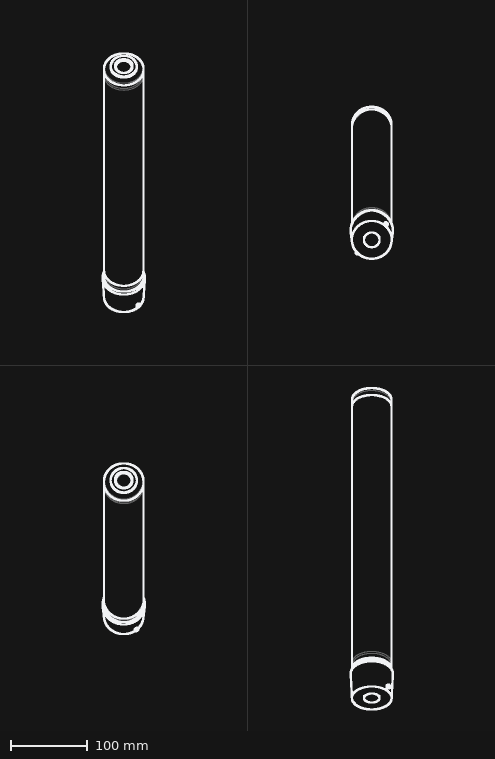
import cadquery as cq
import math

total_height = 481.0
body_diameter = 52.0
groove_diameter = 37.5
collar_diameter = 34.0
bore_diameter = 20.0
bore_chamfer = 1.5

skirt_height = 39.0
skirt_top_diameter = 55.5
neck_diameter = 40.0

rim_radius = 2.5
rim_sweep = 60

lower_disc_bottom = 43.0
lower_disc_top = 44.7
lower_groove_height = 50.5
body_bottom = 56.0

body_top = 463.5
upper_groove_height = 469.0
upper_disc_middle = 474.5
collar_bottom = 478.7

pin_diameter = 5.0
pin_height = 6.3
pin_span = 57.0

body_radius = body_diameter / 2
groove_radius = groove_diameter / 2
collar_radius = collar_diameter / 2


def rim_point(edge_height, direction, angle):
    """Point on a rounded rim: 0 degrees where it meets the outer wall."""
    radius = body_radius - rim_radius * (1 - math.cos(math.radians(angle)))
    height = edge_height + direction * rim_radius * math.sin(math.radians(angle))
    return (radius, height)


def round_inward(outline, edge_height, direction):
    """Draw a rim from its full radius to its inner end, up (1) or down (-1)."""
    return outline.threePointArc(
        rim_point(edge_height, direction, rim_sweep / 2), rim_point(edge_height, direction, rim_sweep)
    )


def round_outward(outline, edge_height, direction):
    """Draw a line to the inner end of a rim, then the rim to its full radius."""
    outline = outline.lineTo(*rim_point(edge_height, direction, rim_sweep))
    return outline.threePointArc(
        rim_point(edge_height, direction, rim_sweep / 2), rim_point(edge_height, direction, 0)
    )


def make_turned_body():
    """Revolve the stepped outer profile about Z."""
    outline = cq.Workplane("XZ").lineTo(body_radius, 0)
    outline = outline.lineTo(skirt_top_diameter / 2, skirt_height)
    outline = outline.lineTo(neck_diameter / 2, skirt_height)

    outline = outline.lineTo(body_radius, lower_disc_bottom)
    outline = outline.lineTo(body_radius, lower_disc_top)
    outline = round_inward(outline, lower_disc_top, 1)
    outline = outline.lineTo(groove_radius, lower_groove_height)

    outline = round_outward(outline, body_bottom, -1)
    outline = outline.lineTo(body_radius, body_top)
    outline = round_inward(outline, body_top, 1)
    outline = outline.lineTo(groove_radius, upper_groove_height)

    outline = round_outward(outline, upper_disc_middle, -1)
    outline = round_inward(outline, upper_disc_middle, 1)
    outline = outline.lineTo(collar_radius, collar_bottom)
    outline = outline.lineTo(collar_radius, total_height)
    outline = outline.lineTo(0, total_height).close()
    return outline.revolve(360, (0, 0), (0, 1))


def make_pins():
    """One bar along X whose two ends stand out of the skirt as pins."""
    bar = cq.Workplane("YZ").center(0, pin_height).circle(pin_diameter / 2)
    return bar.extrude(pin_span / 2, both=True)


def make_bore():
    """Through bore along Z, widened by a chamfer at its top mouth."""
    bore_radius = bore_diameter / 2
    profile = [
        (0, 0),
        (bore_radius, 0),
        (bore_radius, total_height - bore_chamfer),
        (bore_radius + bore_chamfer, total_height),
        (0, total_height),
    ]
    return cq.Workplane("XZ").polyline(profile).close().revolve(360, (0, 0), (0, 1))


result = make_turned_body().union(make_pins()).cut(make_bore())